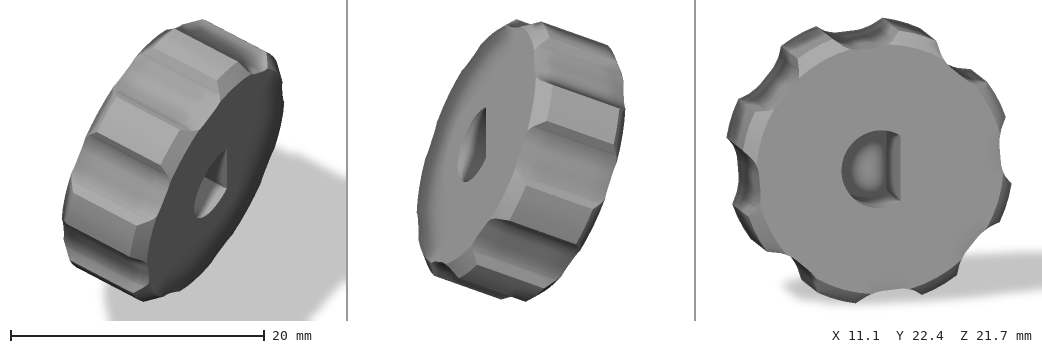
import cadquery as cq
import math

outer_radius = 11.0
thickness = 8.0
rim_chamfer = 1.0
axis_tilt = 9.3

groove_count = 8
first_groove_angle = 5.0
floor_radius = 9.75
floor_half_width = 0.63
arc_end_radius = 10.08
arc_end_half_width = 1.95
mouth_half_width = 2.69
arc_sag = 0.1

bore_radius = 3.11
bore_flat_distance = 1.64
bore_depth = 5.0


def make_body():
    """Disc along +X with both rims chamfered."""
    return cq.Workplane("YZ").circle(outer_radius).extrude(thickness).edges().chamfer(rim_chamfer)


def make_groove():
    """Cutter for one finger groove, running along X and opening towards +Y."""
    mouth_radius = math.sqrt(outer_radius**2 - mouth_half_width**2)
    wall_slope = (mouth_half_width - arc_end_half_width) / (mouth_radius - arc_end_radius)
    clear_radius = outer_radius + rim_chamfer
    clear_half_width = mouth_half_width + wall_slope * (clear_radius - mouth_radius)

    chord_depth = arc_end_radius - floor_radius
    chord_width = arc_end_half_width - floor_half_width
    chord_length = math.hypot(chord_depth, chord_width)
    arc_mid_radius = (floor_radius + arc_end_radius) / 2 - arc_sag * chord_width / chord_length
    arc_mid_half_width = (floor_half_width + arc_end_half_width) / 2 + arc_sag * chord_depth / chord_length

    return (
        cq.Workplane("YZ")
        .moveTo(clear_radius, -clear_half_width)
        .lineTo(arc_end_radius, -arc_end_half_width)
        .threePointArc((arc_mid_radius, -arc_mid_half_width), (floor_radius, -floor_half_width))
        .lineTo(floor_radius, floor_half_width)
        .threePointArc((arc_mid_radius, arc_mid_half_width), (arc_end_radius, arc_end_half_width))
        .lineTo(clear_radius, clear_half_width)
        .close()
        .extrude(thickness)
    )


def make_bore():
    """Cutter for the D-shaped bore."""
    flat_half_width = math.sqrt(bore_radius**2 - bore_flat_distance**2)
    return (
        cq.Workplane("YZ", origin=(thickness - bore_depth, 0, 0))
        .moveTo(bore_flat_distance, -flat_half_width)
        .lineTo(bore_flat_distance, flat_half_width)
        .threePointArc((-bore_radius, 0), (bore_flat_distance, -flat_half_width))
        .close()
        .extrude(bore_depth)
    )


knob = make_body()
groove = make_groove()
for index in range(groove_count):
    angle = first_groove_angle + index * 360 / groove_count
    knob = knob.cut(groove.rotate((0, 0, 0), (1, 0, 0), angle))
knob = knob.cut(make_bore())

result = knob.rotate((0, 0, 0), (0, 0, 1), -axis_tilt)